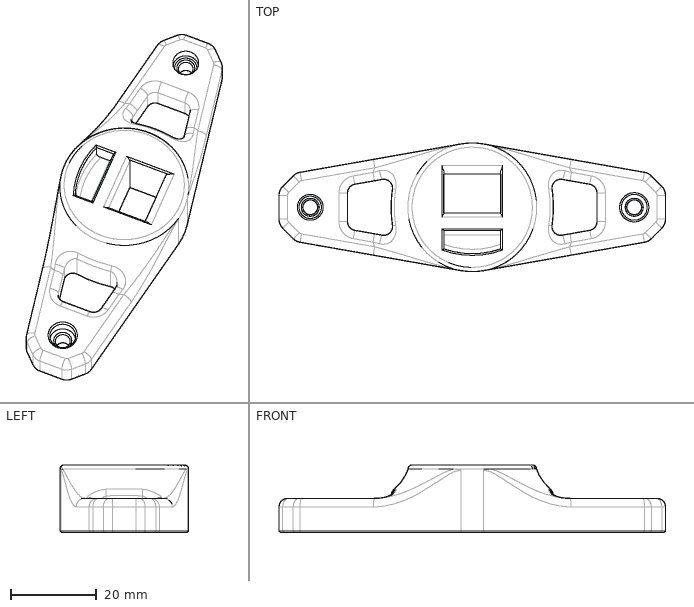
import cadquery as cq
import math

length = 90.0
hub_radius = 15.0
total_height = 15.8
plate_height = 8.0
arm_taper = math.radians(10.0)
tip_half_width = 8.0
tip_chamfer = 4.0
tip_corner_radius = 3.0
arm_edge_fillet = 2.0
hub_edge_fillet = 1.0
small_bevel = 0.4
flare_radius = 10.0

window_wall = 5.0
window_outer_x = 29.0
window_inner_x = 18.9
window_inner_radius = 30.0
window_corner_radius = 2.0

screw_x = 37.7
screw_diameter = 3.4
screw_head_diameter = 6.0
screw_head_depth = 3.0

opening_width = 13.2
port_top_y = 7.7
port_length = 9.0
port_top_round = 2.0
port_bottom_round = 1.0
pocket_top_y = -5.4
pocket_arc_radius = 20.0
pocket_bottom_y = -10.8
pocket_depth = 5.0
pocket_foot_fillet = 1.0

half_length = length / 2
port_bottom_y = port_top_y - port_length
screw_seat_z = plate_height - screw_head_depth
hub_wall_height = total_height - hub_edge_fillet
flare_center_z = plate_height + flare_radius
flare_center_r = hub_radius + math.sqrt(flare_radius**2 - (flare_center_z - hub_wall_height)**2)


def side_y(x, inset=0.0):
    """Half width of the arm at distance x from the hub axis, measured to a line inset from the wall."""
    return (hub_radius - inset) / math.cos(arm_taper) - x * math.tan(arm_taper)


def arm_outline():
    """Half outline of the part on the +X side, with straight walls carried in to the YZ plane."""
    tip_y = tip_half_width - tip_chamfer
    shoulder_x = half_length - tip_chamfer
    return [
        (0, -side_y(0)),
        (shoulder_x, -tip_half_width),
        (half_length, -tip_y),
        (half_length, tip_y),
        (shoulder_x, tip_half_width),
        (0, side_y(0)),
    ]


def flare_blank():
    """Revolved blank whose top is the plate face, sweeping up concavely towards the hub."""
    neck_r = flare_center_r - flare_radius
    mid_r = flare_center_r - flare_radius * math.cos(math.pi / 4)
    mid_z = flare_center_z - flare_radius * math.sin(math.pi / 4)
    return (
        cq.Workplane("XZ")
        .lineTo(length, 0)
        .lineTo(length, plate_height)
        .lineTo(flare_center_r, plate_height)
        .threePointArc((mid_r, mid_z), (neck_r, flare_center_z))
        .lineTo(0, flare_center_z)
        .close()
        .revolve(360, (0, 0), (0, 1))
    )


def arm_window():
    """Cutter for the window through the +X arm: sides parallel to the arm walls, bulged hub side."""
    outer_y = side_y(window_outer_x, window_wall)
    root_y = side_y(0, window_wall)
    wedge = (
        cq.Workplane("XY")
        .polyline([(0, -root_y), (window_outer_x, -outer_y), (window_outer_x, outer_y), (0, root_y)])
        .close()
        .extrude(flare_center_z)
    )
    hub_side = (
        cq.Workplane("XY")
        .center(window_inner_x - window_inner_radius, 0)
        .circle(window_inner_radius)
        .extrude(flare_center_z)
    )
    return wedge.cut(hub_side).edges("|Z").fillet(window_corner_radius)


def arm():
    """+X arm with its flare, window and rounded upper edges, as high as the hub wall."""
    body = cq.Workplane("XY").polyline(arm_outline()).close().extrude(flare_center_z)
    body = body.edges("|Z and (not <X)").fillet(tip_corner_radius)
    body = body.intersect(flare_blank()).cut(arm_window())
    upper_edges = cq.selectors.BoxSelector(
        (small_bevel, -length, plate_height - small_bevel),
        (length, length, flare_center_z - small_bevel),
    )
    body = body.edges(upper_edges).fillet(arm_edge_fillet)
    height_limit = cq.Workplane("XY").rect(2 * length, length).extrude(hub_wall_height)
    tangent_x = hub_radius * math.sin(arm_taper)
    middle = cq.Workplane("XY").rect(2 * tangent_x, length).extrude(total_height)
    return body.intersect(height_limit).cut(middle)


def hub():
    """Central round boss with a rounded top rim."""
    boss = cq.Workplane("XY").circle(hub_radius).extrude(total_height)
    return boss.faces(">Z").edges().fillet(hub_edge_fillet)


def disc(x, diameter, bottom, top):
    """Vertical cylinder between two heights, centred on the X axis."""
    return cq.Workplane("XY", origin=(x, 0, bottom)).circle(diameter / 2).extrude(top - bottom)


def screw_hole_parts(x):
    """Shank cutter with a bevelled upper rim, and head recess cutter, of a counterbored screw hole."""
    head = disc(x, screw_head_diameter, screw_seat_z, plate_height)
    rim = bevel_cone(x, screw_diameter, screw_seat_z)
    return disc(x, screw_diameter, 0, plate_height).union(rim), head


def bevel_cone(x, diameter, top):
    """Cone cutter that bevels the rim of a vertical hole at the given height."""
    radius = diameter / 2
    base = cq.Vector(x, 0, top - small_bevel)
    cone = cq.Solid.makeCone(radius, radius + small_bevel, small_bevel, pnt=base)
    return cq.Workplane("XY").add(cone)


def bevelled_mouth_screw_hole(x):
    """Counterbored hole whose head recess opens with a bevelled mouth."""
    shank, head = screw_hole_parts(x)
    mouth = bevel_cone(x, screw_head_diameter, plate_height)
    return shank.union(head).union(mouth)


def bevelled_foot_screw_hole(x):
    """Counterbored hole whose head recess has a plain mouth and a bevelled foot."""
    shank, head = screw_hole_parts(x)
    head = head.faces("<Z").chamfer(small_bevel)
    return shank.union(head)


def port():
    """Cutter for the through opening: rounded lips on +Y and -Y, small bevels at the sides."""
    half = opening_width / 2
    mouth_half = half + small_bevel
    channel = (
        cq.Workplane("YZ")
        .moveTo(port_bottom_y, 0)
        .lineTo(port_top_y, 0)
        .lineTo(port_top_y, total_height - port_top_round)
        .radiusArc((port_top_y + port_top_round, total_height), port_top_round)
        .lineTo(port_bottom_y - port_bottom_round, total_height)
        .radiusArc((port_bottom_y, total_height - port_bottom_round), port_bottom_round)
        .close()
        .extrude(mouth_half, both=True)
    )
    side_profile = (
        cq.Workplane("XZ")
        .polyline([
            (-half, 0),
            (half, 0),
            (half, total_height - small_bevel),
            (mouth_half, total_height),
            (-mouth_half, total_height),
            (-half, total_height - small_bevel),
        ])
        .close()
        .extrude(hub_radius, both=True)
    )
    return channel.intersect(side_profile)


def pocket():
    """Cutter for the blind pocket beside the port, with an arc-shaped outer wall."""
    half = opening_width / 2
    arc_center_y = pocket_bottom_y + pocket_arc_radius
    end_y = arc_center_y - math.sqrt(pocket_arc_radius**2 - half**2)
    body = (
        cq.Workplane("XY", origin=(0, 0, total_height - pocket_depth))
        .moveTo(-half, pocket_top_y)
        .lineTo(-half, end_y)
        .threePointArc((0, pocket_bottom_y), (half, end_y))
        .lineTo(half, pocket_top_y)
        .close()
        .extrude(pocket_depth)
    )
    return body.faces("<Z").edges("not(|Y)").fillet(pocket_foot_fillet)


def bevel_base_rim(body):
    """Bevel the outer bottom edge, leaving the window edges sharp."""
    rim = body.faces("<Z").val().outerWire()
    return body.newObject(rim.Edges()).chamfer(small_bevel)


def bevel_pocket_mouth(body):
    """Bevel the top edges of the pocket."""
    mouth = cq.selectors.BoxSelector(
        (-opening_width, pocket_bottom_y - small_bevel, total_height - small_bevel),
        (opening_width, pocket_top_y + small_bevel, total_height + small_bevel),
    )
    return body.edges(mouth).chamfer(small_bevel)


right_arm = arm()
body = hub().union(right_arm).union(right_arm.mirror("YZ"))
body = bevel_base_rim(body)
body = body.cut(bevelled_mouth_screw_hole(screw_x))
body = body.cut(bevelled_foot_screw_hole(-screw_x))
body = bevel_pocket_mouth(body.cut(pocket()))
result = body.cut(port())